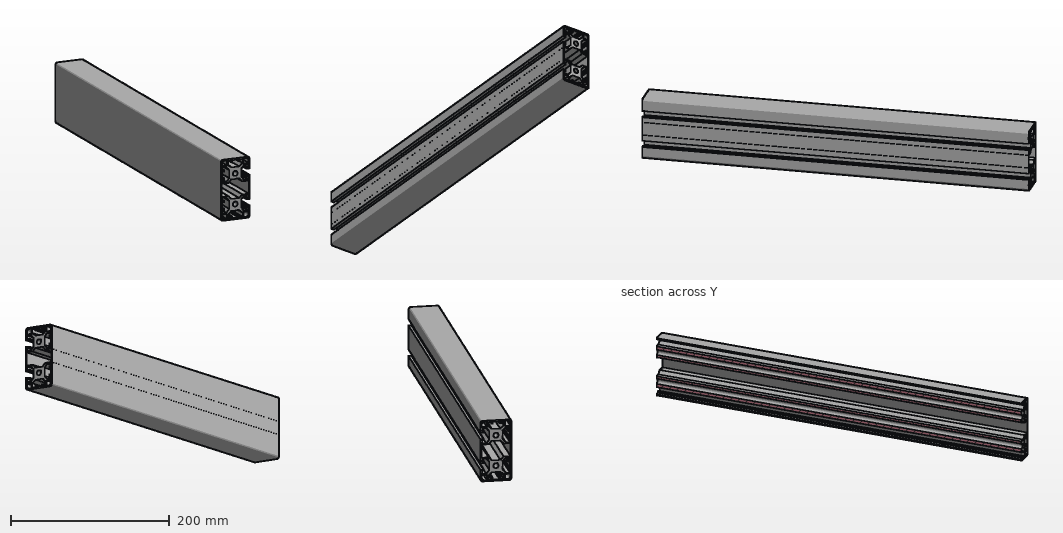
import cadquery as cq

LENGTH = 500.0
MODULE = 40.0
CORNER_RADIUS = 3.5

CORE_WIDTH = 17.0
CORE_FLAT = 10.5
BORE_DIAMETER = 6.5

SLOT_WIDTH = 8.5
SLOT_CHAMBER_WIDTH = 20.0
SLOT_SHOULDER = 12.5
SLOT_WALL = 2.25
LIP_DEPTH = 4.5
LIP_WIDTH = 1.75

CORNER_HOLLOW = 6.5
CORNER_WALL = 1.75
CORNER_HOLLOW_RADIUS = 3.25
MIDDLE_WALL = 1.5
MIDDLE_HEIGHT = 25.5
MIDDLE_FLAT = 11.0
MIDDLE_SIDE_HEIGHT = 17.0

HALF_MODULE = MODULE / 2
START_X = -LENGTH / 2


def extrude_mirrored(right_chain):
    """Extrude along X the outline made by a chain of points and its mirror image across Z."""
    left_chain = [(-y, z) for y, z in reversed(right_chain)]
    outline = cq.Workplane("YZ", origin=(START_X, 0, 0)).polyline(right_chain + left_chain)
    return outline.close().extrude(LENGTH)


def slot(is_open):
    """Slot pointing up, placed about the centre of its module."""
    chamber_top = HALF_MODULE - SLOT_WALL
    mouth = HALF_MODULE if is_open else chamber_top
    lip_bottom = HALF_MODULE - LIP_DEPTH
    lip_outside = SLOT_WIDTH / 2 + LIP_WIDTH
    return extrude_mirrored([
        (CORE_FLAT / 2, CORE_WIDTH / 2),
        (SLOT_CHAMBER_WIDTH / 2, SLOT_SHOULDER),
        (SLOT_CHAMBER_WIDTH / 2, chamber_top),
        (lip_outside, chamber_top),
        (lip_outside, lip_bottom),
        (SLOT_WIDTH / 2, lip_bottom),
        (SLOT_WIDTH / 2, mouth),
    ])


def corner_hollow():
    """Square hollow of the +Y +Z corner, rounded towards the outside of the bar."""
    centre = HALF_MODULE - CORNER_WALL - CORNER_HOLLOW / 2
    hollow = cq.Workplane("XY").box(LENGTH, CORNER_HOLLOW, CORNER_HOLLOW)
    hollow = hollow.edges(">Y and >Z").fillet(CORNER_HOLLOW_RADIUS)
    return hollow.translate((0, centre, HALF_MODULE + centre))


def middle_chamber():
    """Chamber between the cores, narrowing at 45 degrees towards each core."""
    slope_run = (MIDDLE_HEIGHT - MIDDLE_SIDE_HEIGHT) / 2
    upper_right = [
        (MIDDLE_FLAT / 2, MIDDLE_HEIGHT / 2),
        (MIDDLE_FLAT / 2 + slope_run, MIDDLE_SIDE_HEIGHT / 2),
        (HALF_MODULE - MIDDLE_WALL, MIDDLE_SIDE_HEIGHT / 2),
    ]
    lower_right = [(y, -z) for y, z in reversed(upper_right)]
    return extrude_mirrored(upper_right + lower_right)


def upper_module_cuts():
    """Every cut of the upper module: its bore, slots and corner hollows."""
    bore = cq.Workplane("YZ", origin=(START_X, 0, 0)).circle(BORE_DIAMETER / 2).extrude(LENGTH)
    open_slot = slot(True).rotate((0, 0, 0), (1, 0, 0), -90)
    closed_slot = slot(False).rotate((0, 0, 0), (1, 0, 0), 90)
    around_core = [bore, open_slot, closed_slot, slot(False)]
    hollow = corner_hollow()
    return [cut.translate((0, 0, HALF_MODULE)) for cut in around_core] + [hollow, hollow.mirror("XZ")]


result = cq.Workplane("XY").box(LENGTH, MODULE, 2 * MODULE)
result = result.edges("|X").fillet(CORNER_RADIUS)
result = result.cut(middle_chamber())
for upper_cut in upper_module_cuts():
    result = result.cut(upper_cut).cut(upper_cut.mirror("XY"))